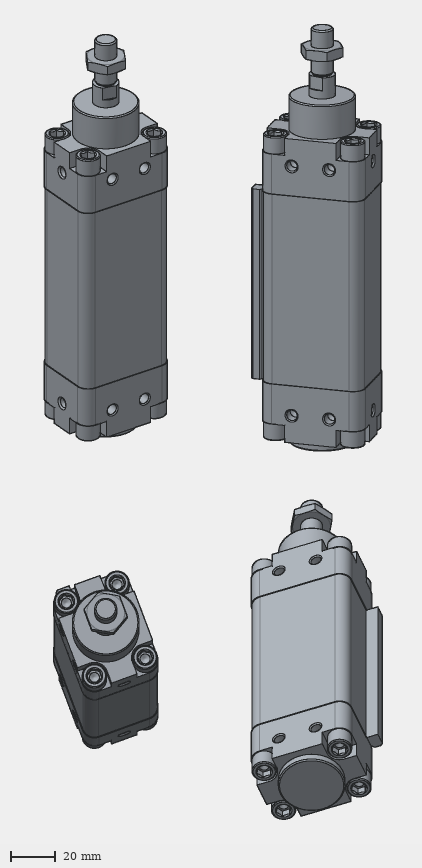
import cadquery as cq
import math


total_height = 196.0
cap_width = 36.0
cap_depth = 48.0
cap_height = 27.0
corner_radius = 5.9
boss_diameter = 11.0
boss_top_diameter = 10.0
boss_x = cap_width / 2 - corner_radius
boss_y = cap_depth / 2 - corner_radius
pocket_depth = 8.0
pocket_radius = 6.0

collar_diameter = 30.0
upper_collar_height = 16.0
lower_collar_height = 4.0
collar_chamfer = 0.5

socket_flats = 6.0
socket_rim_diameter = 7.5
socket_depth = 4.0
socket_pilot_diameter = 4.5

hole_rim_diameter = 6.0
hole_from_end = 13.0
port_diameter = 4.5
port_depth = 8.0
mount_hole_diameter = 4.9
mount_hole_depth = 5.9
mount_hole_spacing = 17.6
drill_point_angle = 118.0

rod_diameter = 12.0
rod_exposed = 10.0
rod_flats = 10.0
rod_flat_length = 6.0
rod_flat_turn = 15.0
thread_diameter = 10.0
thread_end_diameter = 8.6
thread_length = 22.0
thread_chamfer = (thread_diameter - thread_end_diameter) / 2
thread_relief = 0.4

nut_flats = 17.0
nut_height = 4.9
nut_below_tip = 13.3
nut_chamfer_height = 0.4

tube_inset = 0.4
rail_root_depth = 0.4
rail_left = -13.3
rail_right = -6.7
rail_thickness = 4.9
rail_rise = 5.3
rail_top = cap_depth / 2 + rail_rise
rail_bottom = rail_top - rail_thickness
rail_chamfer = 1.0

lower_cap_end = lower_collar_height
lower_joint = lower_cap_end + cap_height
thread_base = total_height - thread_length
collar_top = thread_base - rod_exposed
upper_cap_end = collar_top - upper_collar_height
upper_joint = upper_cap_end - cap_height
tube_length = upper_joint - lower_joint

boss_centres = [(sx * boss_x, sy * boss_y) for sx in (-1, 1) for sy in (-1, 1)]


def cylinder(diameter, height, z=0.0):
    return cq.Workplane("XY").workplane(offset=z).circle(diameter / 2).extrude(height)


def rounded_block(width, depth, height, corner_radius):
    return cq.Workplane("XY").rect(width, depth).extrude(height).edges("|Z").fillet(corner_radius)


def hexagon(flats, height, z=0.0):
    """Hexagonal prism with two of its flats facing +X and -X."""
    corner_diameter = flats / math.cos(math.radians(30))
    prism = cq.Workplane("XY").workplane(offset=z).polygon(6, corner_diameter).extrude(height)
    return prism.rotate((0, 0, 0), (0, 0, 1), 30)


def drill_point(diameter):
    return diameter / 2 / math.tan(math.radians(drill_point_angle / 2))


def hole_cutter(diameter, depth, pointed):
    """Hole with a chamfered rim, running down from Z = 0."""
    rim_radius = hole_rim_diameter / 2
    radius = diameter / 2
    tip = depth + drill_point(diameter) if pointed else depth
    profile = cq.Workplane("XZ").moveTo(0, 0).lineTo(rim_radius, 0).lineTo(radius, radius - rim_radius)
    profile = profile.lineTo(radius, -depth).lineTo(0, -tip).close()
    return profile.revolve(360, (0, 0, 0), (0, 1, 0))


def socket_cutter():
    """Hexagon socket with a countersunk rim and a pointed pilot, running down from Z = 0."""
    rim_radius = socket_rim_diameter / 2
    rim = cq.Workplane("XZ").polyline([(0, 0), (rim_radius, 0), (0, -rim_radius)]).close()
    rim = rim.revolve(360, (0, 0, 0), (0, 1, 0))
    pilot_radius = socket_pilot_diameter / 2
    pilot_tip = socket_depth + drill_point(socket_pilot_diameter)
    pilot_outline = [(0, 0), (pilot_radius, 0), (pilot_radius, -socket_depth), (0, -pilot_tip)]
    pilot = cq.Workplane("XZ").polyline(pilot_outline).close().revolve(360, (0, 0, 0), (0, 1, 0))
    return hexagon(socket_flats, socket_depth, -socket_depth).union(rim).union(pilot)


def make_end_plate():
    """Outer end of a cap: a plate whose corners are cut back around the bosses."""
    plate = cq.Workplane("XY").rect(cap_width, cap_depth).extrude(pocket_depth)
    pocket_size = 2 * (corner_radius + pocket_radius)
    corners = cq.Workplane("XY").rect(cap_width, cap_depth, forConstruction=True).vertices()
    pockets = corners.rect(pocket_size, pocket_size).extrude(pocket_depth).edges("|Z").fillet(pocket_radius)
    return plate.cut(pockets).translate((0, 0, cap_height - pocket_depth))


def make_boss():
    boss = cylinder(boss_diameter, pocket_depth, cap_height - pocket_depth)
    boss = boss.faces(">Z").chamfer((boss_diameter - boss_top_diameter) / 2)
    return boss.cut(socket_cutter().translate((0, 0, cap_height)))


def make_cap(collar_height):
    """End cap with its joint face at Z = 0 and its collar pointing up."""
    cap = rounded_block(cap_width, cap_depth, cap_height - pocket_depth, corner_radius).union(make_end_plate())
    collar = cylinder(collar_diameter, collar_height, cap_height).faces(">Z").chamfer(collar_chamfer)
    cap = cap.union(collar)
    boss = make_boss()
    for x, y in boss_centres:
        cap = cap.union(boss.translate((x, y, 0)))

    hole_z = cap_height - hole_from_end
    port = hole_cutter(port_diameter, port_depth, pointed=False).rotate((0, 0, 0), (1, 0, 0), 90)
    cap = cap.cut(port.translate((0, -cap_depth / 2, hole_z)))
    mount_hole = hole_cutter(mount_hole_diameter, mount_hole_depth, pointed=True)
    for side in (-1, 1):
        sideways = mount_hole.rotate((0, 0, 0), (0, 1, 0), side * 90)
        for y in (-mount_hole_spacing / 2, mount_hole_spacing / 2):
            cap = cap.cut(sideways.translate((side * cap_width / 2, y, hole_z)))
    return cap


def make_rail():
    """Sensor rail on the +Y face of the tube, chamfered along its -X side."""
    neck_left = rail_left + rail_chamfer
    root = cap_depth / 2 - tube_inset - rail_root_depth
    outline = [
        (rail_right, root),
        (rail_right, rail_top),
        (neck_left, rail_top),
        (rail_left, rail_top - rail_chamfer),
        (rail_left, rail_bottom + rail_chamfer),
        (neck_left, rail_bottom),
        (neck_left, root),
    ]
    return cq.Workplane("XY").polyline(outline).close().extrude(tube_length)


def make_housing():
    tube = rounded_block(
        cap_width - 2 * tube_inset, cap_depth - 2 * tube_inset, tube_length, corner_radius - tube_inset
    )
    housing = tube.union(make_rail()).translate((0, 0, lower_joint))
    housing = housing.union(make_cap(upper_collar_height).translate((0, 0, upper_joint)))
    housing = housing.union(make_cap(lower_collar_height).mirror("XY").translate((0, 0, lower_joint)))
    return housing.cut(cylinder(rod_diameter, upper_collar_height, upper_cap_end))


def make_rod():
    """Rod seated in the upper collar, with two wrench flats and a threaded end."""
    shank = cylinder(rod_diameter, thread_base - upper_cap_end, upper_cap_end)
    across = cq.Workplane("XY").workplane(offset=thread_base - rod_flat_length)
    flats = across.rect(rod_flats, 2 * rod_diameter).extrude(rod_flat_length)
    flats = flats.rotate((0, 0, 0), (0, 0, 1), -rod_flat_turn)
    below_flats = cylinder(rod_diameter, thread_base - rod_flat_length - upper_cap_end, upper_cap_end)
    shank = shank.intersect(flats).union(below_flats)

    relief = cylinder(thread_end_diameter, thread_relief, thread_base)
    thread = cylinder(thread_diameter, thread_length - thread_relief, thread_base + thread_relief)
    thread = thread.faces("<Z or >Z").chamfer(thread_chamfer)
    return shank.union(relief).union(thread)


def make_nut():
    """Hexagon nut with conically chamfered corners on both faces."""
    face_radius = nut_flats / 2
    tip_radius = face_radius / math.cos(math.radians(30))
    envelope_outline = [
        (0, 0),
        (face_radius, 0),
        (tip_radius, nut_chamfer_height),
        (tip_radius, nut_height - nut_chamfer_height),
        (face_radius, nut_height),
        (0, nut_height),
    ]
    envelope = cq.Workplane("XZ").polyline(envelope_outline).close().revolve(360, (0, 0, 0), (0, 1, 0))
    nut = hexagon(nut_flats, nut_height).intersect(envelope).cut(cylinder(thread_diameter, nut_height))
    return nut.translate((0, 0, total_height - nut_below_tip))


housing = make_housing()
rod = make_rod()
nut = make_nut()

result = cq.Compound.makeCompound([housing.val(), rod.val(), nut.val()])